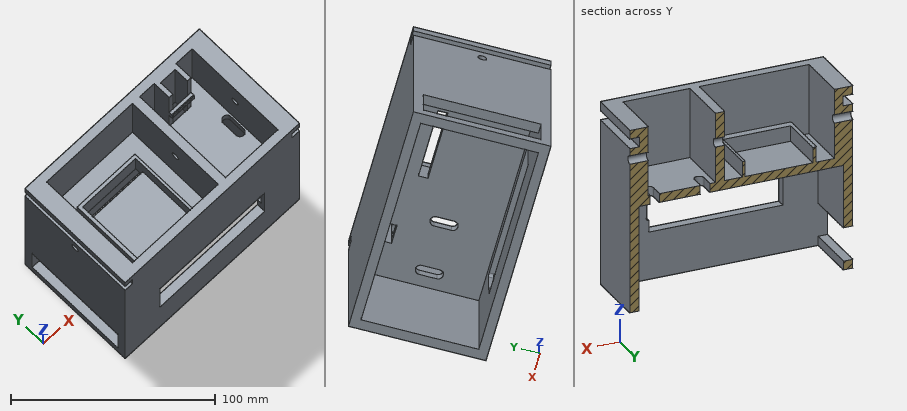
import cadquery as cq

LENGTH = 120.0
WIDTH = 70.0
HEIGHT = 100.0
WALL = 5.0
INNER_BACK = WIDTH - WALL

END_WALL = 10.0
LEFT_CHAMBER_LENGTH = 59.0
RIGHT_CHAMBER_LENGTH = 36.0
RIGHT_CHAMBER_START = LENGTH - END_WALL - RIGHT_CHAMBER_LENGTH
FLOOR_TOP = 62.2
FLOOR_BOTTOM = FLOOR_TOP - WALL

GROOVE_SIZE = 5.0
GROOVE_BOTTOM = 90.0

FRONT_WINDOW_START = 24.0
FRONT_WINDOW_LENGTH = 72.0
FRONT_WINDOW_BOTTOM = 25.9
FRONT_WINDOW_HEIGHT = 24.0
SIDE_WINDOW_HEIGHT = 18.0
WIRE_HOLE_DIAMETER = 4.3
WIRE_HOLE_HEIGHT = 83.6

RELIEF_DIAMETER = 3.0
RELIEF_SKIN = 2.5
RELIEF_BOTTOM = 32.2

RIM_START = 19.5
RIM_LENGTH = 39.8
RIM_BACK = 53.4
RIM_TOP = 70.5
RIM_WELL_START = 21.6
RIM_WELL_LENGTH = 36.4
RIM_WELL_FRONT = 9.0
RIM_WELL_BACK = 51.5
FLOOR_SLIT_WIDTH = 4.9

SLOT_WIDTH = 5.0
SLOT_LENGTH = 14.0
SLOT_CENTERS_X = (79.5, 106.5)
SLOT_CENTER_Y = 32.5

CHANNEL_START = 84.0
CHANNEL_LENGTH = 15.0
RAIL_THICKNESS = 2.5
RAIL_FRONT = 54.5
CHANNEL_BACK = 63.0
BAR_FRONT = 52.2
BAR_BOTTOM = 76.2
BAR_HEIGHT = 4.5
BAR_CHAMFER = 0.5


def box(x_range, y_range, z_range):
    """Axis-aligned box between the given limits."""
    limits = (x_range, y_range, z_range)
    sizes = [high - low for low, high in limits]
    corner = tuple(low for low, high in limits)
    return cq.Workplane("XY").box(*sizes, centered=False).translate(corner)


def make_shell():
    """Block with two open-top chambers and one open-bottom cavity."""
    shell = cq.Workplane("XY").box(LENGTH, WIDTH, HEIGHT, centered=False)
    inner_depth = (WALL, INNER_BACK)
    chambers = (
        (END_WALL, LEFT_CHAMBER_LENGTH),
        (RIGHT_CHAMBER_START, RIGHT_CHAMBER_LENGTH),
    )
    for start, length in chambers:
        shell = shell.cut(box((start, start + length), inner_depth, (FLOOR_TOP, HEIGHT)))
    return shell.cut(box((WALL, LENGTH - WALL), inner_depth, (0, FLOOR_BOTTOM)))


def cut_end_grooves(body):
    for start in (0, LENGTH - GROOVE_SIZE):
        groove = box(
            (start, start + GROOVE_SIZE),
            (0, WIDTH),
            (GROOVE_BOTTOM, GROOVE_BOTTOM + GROOVE_SIZE),
        )
        body = body.cut(groove)
    return body


def cut_wall_openings(body):
    """Front and -X windows, and the hole through the end walls and divider."""
    front_window = box(
        (FRONT_WINDOW_START, FRONT_WINDOW_START + FRONT_WINDOW_LENGTH),
        (0, WALL),
        (FRONT_WINDOW_BOTTOM, FRONT_WINDOW_BOTTOM + FRONT_WINDOW_HEIGHT),
    )
    side_window = box((0, WALL), (WALL, INNER_BACK), (WALL, WALL + SIDE_WINDOW_HEIGHT))
    wire_hole = (
        cq.Workplane("YZ")
        .center(WIDTH / 2, WIRE_HOLE_HEIGHT)
        .circle(WIRE_HOLE_DIAMETER / 2)
        .extrude(LENGTH)
    )
    return body.cut(front_window).cut(side_window).cut(wire_hole)


def cut_window_relief(body):
    relief_height = FRONT_WINDOW_BOTTOM + FRONT_WINDOW_HEIGHT - RELIEF_BOTTOM
    relief = (
        cq.Workplane("XZ", origin=(0, WALL, 0))
        .center(FRONT_WINDOW_START + FRONT_WINDOW_LENGTH, RELIEF_BOTTOM + relief_height / 2)
        .slot2D(relief_height, RELIEF_DIAMETER, 90)
        .extrude(WALL - RELIEF_SKIN)
    )
    return body.cut(relief)


def add_rim(body):
    """Raised rim with a well down to the floor and a slit through it."""
    well_x = (RIM_WELL_START, RIM_WELL_START + RIM_WELL_LENGTH)
    rim = box((RIM_START, RIM_START + RIM_LENGTH), (WALL, RIM_BACK), (FLOOR_TOP, RIM_TOP))
    well = box(well_x, (RIM_WELL_FRONT, RIM_WELL_BACK), (FLOOR_TOP, RIM_TOP))
    slit = box(well_x, (RIM_WELL_BACK - FLOOR_SLIT_WIDTH, RIM_WELL_BACK), (FLOOR_BOTTOM, FLOOR_TOP))
    return body.union(rim.cut(well)).cut(slit)


def cut_floor_slots(body):
    slots = (
        cq.Workplane("XY", origin=(0, 0, FLOOR_BOTTOM))
        .pushPoints([(x, SLOT_CENTER_Y) for x in SLOT_CENTERS_X])
        .slot2D(SLOT_LENGTH, SLOT_WIDTH, 90)
        .extrude(WALL)
    )
    return body.cut(slots)


def add_channel(body):
    """Rails up to the top face, the channel through the floor, and the bar."""
    channel_x = (CHANNEL_START, CHANNEL_START + CHANNEL_LENGTH)
    opening_x = (channel_x[0] + RAIL_THICKNESS, channel_x[1] - RAIL_THICKNESS)
    rails = box(channel_x, (RAIL_FRONT, INNER_BACK), (FLOOR_TOP, HEIGHT))
    opening = box(opening_x, (RAIL_FRONT, CHANNEL_BACK), (FLOOR_BOTTOM, HEIGHT))
    bar = box(channel_x, (BAR_FRONT, RAIL_FRONT), (BAR_BOTTOM, BAR_BOTTOM + BAR_HEIGHT))
    bar = bar.faces("<Y").edges("|X").chamfer(BAR_CHAMFER)
    return body.union(rails).cut(opening).union(bar)


body = make_shell()
body = cut_end_grooves(body)
body = cut_wall_openings(body)
body = cut_window_relief(body)
body = add_rim(body)
body = cut_floor_slots(body)
result = add_channel(body)